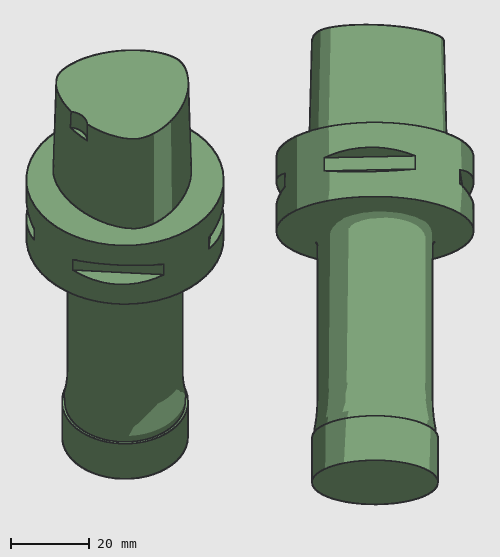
import cadquery as cq
import math

total_height = 118.0
shank_length = 30.0
flange_thickness = 20.1
collar_height = 12.0
rim_height = 2.1
flare_height = 8.0

flange_diameter = 50.0
neck_diameter = 29.3
collar_diameter = 32.0
flare_end_diameter = 30.8
rim_foot_diameter = 30.6
flange_fillet = 4.0

shank_mean_diameter = 35.0
lobe_height = 1.3
shank_taper = 1 / 20
lobe_count = 3
lobe_half_angle = 37.0

notch_diameter = 10.0
notch_height = 5.4
notch_depth = 1.3

slot_count = 4
slot_first_angle = 45.0
slot_depth = 2.8
slot_floor_height = 3.5
slot_mouth_height = 6.6

flange_top = total_height - shank_length
flange_bottom = flange_top - flange_thickness
flange_radius = flange_diameter / 2
neck_radius = neck_diameter / 2
shank_mean_radius = shank_mean_diameter / 2
shank_top_mean_radius = shank_mean_radius - shank_taper * shank_length / 2


def turned_body():
    """Flange, filleted neck and flared foot, revolved about Z."""
    rim_top = collar_height + rim_height
    flare_top = rim_top + flare_height
    flare_end_radius = flare_end_diameter / 2
    fillet_middle = flange_fillet * (1 - math.sqrt(0.5))
    widening = flare_end_radius - neck_radius
    flare_radius = (flare_height**2 + widening**2) / (2 * widening)
    half_turn = math.asin(flare_height / flare_radius) / 2
    flare_middle = (
        neck_radius + flare_radius * (1 - math.cos(half_turn)),
        flare_top - flare_radius * math.sin(half_turn),
    )
    return (
        cq.Workplane("XZ")
        .moveTo(0, collar_height)
        .lineTo(rim_foot_diameter / 2, collar_height)
        .lineTo(flare_end_radius, rim_top)
        .threePointArc(flare_middle, (neck_radius, flare_top))
        .lineTo(neck_radius, flange_bottom - flange_fillet)
        .threePointArc(
            (neck_radius + fillet_middle, flange_bottom - fillet_middle),
            (neck_radius + flange_fillet, flange_bottom),
        )
        .lineTo(flange_radius, flange_bottom)
        .lineTo(flange_radius, flange_top)
        .lineTo(0, flange_top)
        .close()
        .revolve(360, (0, 0, 0), (0, 1, 0))
    )


def lobed_point(mean_radius, normal_angle):
    """Point of the lobed outline whose outward normal has the given angle, in degrees."""
    turn = math.radians(normal_angle)
    lobe_turn = lobe_count * (turn - math.pi / 2)
    reach = mean_radius + lobe_height * math.cos(lobe_turn)
    slope = -lobe_count * lobe_height * math.sin(lobe_turn)
    x = reach * math.cos(turn) - slope * math.sin(turn)
    y = reach * math.sin(turn) + slope * math.cos(turn)
    return x, y


def lobed_wire(mean_radius, height):
    """Closed outline of alternating lobe faces and flatter faces, one spline for each face."""
    points_per_face = 9
    lobe_pitch = 360 / lobe_count
    edges = []
    for lobe in range(lobe_count):
        start = 90 + lobe * lobe_pitch - lobe_half_angle
        middle = start + 2 * lobe_half_angle
        end = start + lobe_pitch
        for first, last in ((start, middle), (middle, end)):
            step = (last - first) / (points_per_face - 1)
            points = [
                cq.Vector(*lobed_point(mean_radius, first + i * step), height)
                for i in range(points_per_face)
            ]
            edges.append(cq.Edge.makeSpline(points))
    return cq.Wire.assembleEdges(edges)


def lobed_shank():
    foot = lobed_wire(shank_mean_radius, flange_top)
    top = lobed_wire(shank_top_mean_radius, total_height)
    return cq.Workplane(cq.Solid.makeLoft([foot, top], True))


def key_notch():
    notch_floor_y = -(shank_top_mean_radius - lobe_height - notch_depth)
    return (
        cq.Workplane("XY", origin=(0, 0, total_height - notch_height))
        .center(0, notch_floor_y - notch_diameter / 2)
        .circle(notch_diameter / 2)
        .extrude(notch_height)
    )


def gripper_slot(angle):
    """Cutter for a straight slot that flares from its flat floor to the flange surface."""
    floor_half = slot_floor_height / 2
    mouth_half = slot_mouth_height / 2
    floor_x = flange_radius - slot_depth
    return (
        cq.Workplane("XZ", origin=(0, 0, (flange_top + flange_bottom) / 2))
        .moveTo(floor_x, -floor_half)
        .lineTo(flange_radius, -mouth_half)
        .lineTo(flange_radius, mouth_half)
        .lineTo(floor_x, floor_half)
        .close()
        .extrude(flange_radius, both=True)
        .rotate((0, 0, 0), (0, 0, 1), angle)
    )


def make_holder():
    holder = turned_body().union(lobed_shank()).cut(key_notch())
    for i in range(slot_count):
        holder = holder.cut(gripper_slot(slot_first_angle + i * 360 / slot_count))
    return holder


def make_collar():
    return cq.Workplane("XY").circle(collar_diameter / 2).extrude(collar_height)


holder = make_holder()
collar = make_collar()

result = cq.Compound.makeCompound([holder.val(), collar.val()])